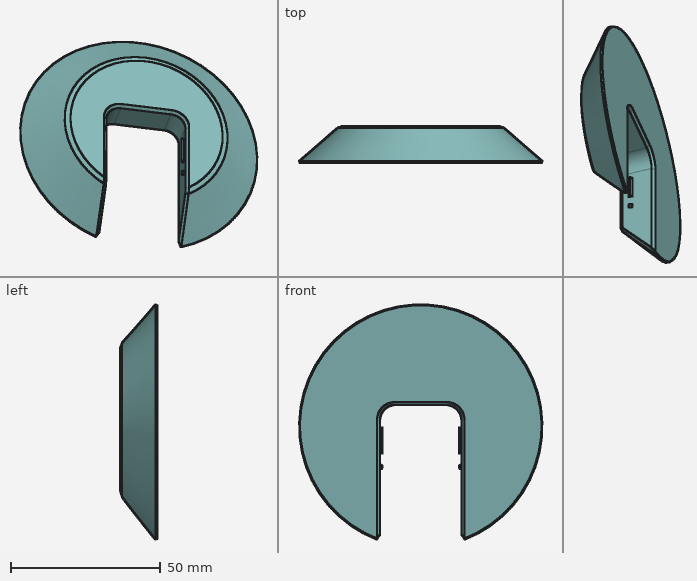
import cadquery as cq
front_radius = 41.54
back_radius = 27.2
depth = 12.47

slot_half_width = 13.6
slot_top = 7.0
slot_corner_radius = 5.0
slot_bottom = -front_radius - 5.0

edge_chamfer = 1.05

snap_height = 0.75
snap_half_width = 0.75
snap_embed = 0.5
snap_depth = 8.5
ridge_top = -0.5
ridge_bottom = -9.2
bump_z = -13.7


def make_disc():
    """Revolve the half section of the cone about the Y axis."""
    return (
        cq.Workplane("XY")
        .polyline([
            (0, 0),
            (front_radius, 0),
            (back_radius, depth),
            (0, depth),
        ])
        .close()
        .revolve(360, (0, 0, 0), (0, 1, 0))
    )


def make_slot_cutter():
    """Slot with rounded top corners, running through the full depth."""
    corner_z = slot_top - slot_corner_radius
    corner_x = slot_half_width - slot_corner_radius
    return (
        cq.Workplane("XZ")
        .moveTo(-slot_half_width, slot_bottom)
        .lineTo(-slot_half_width, corner_z)
        .radiusArc((-corner_x, slot_top), slot_corner_radius)
        .lineTo(corner_x, slot_top)
        .radiusArc((slot_half_width, corner_z), slot_corner_radius)
        .lineTo(slot_half_width, slot_bottom)
        .close()
        .extrude(-depth)
    )


def make_ridge(side):
    """Vertical triangular ridge on the wall at the given side (-1 or +1)."""
    wall = side * slot_half_width
    root = wall + side * snap_embed
    return (
        cq.Workplane("XY", origin=(0, 0, ridge_bottom))
        .polyline([
            (root, snap_depth - snap_half_width),
            (wall, snap_depth - snap_half_width),
            (wall - side * snap_height, snap_depth),
            (wall, snap_depth + snap_half_width),
            (root, snap_depth + snap_half_width),
        ])
        .close()
        .extrude(ridge_top - ridge_bottom)
    )


def make_bump(side):
    """Round bump on the wall at the given side (-1 or +1)."""
    center = (side * slot_half_width, snap_depth, bump_z)
    return cq.Workplane("XY").sphere(snap_height).translate(center)


result = make_disc().cut(make_slot_cutter())
result = result.edges("not |Y").chamfer(edge_chamfer)
for wall_side in (-1, 1):
    result = result.union(make_ridge(wall_side))
    result = result.union(make_bump(wall_side))